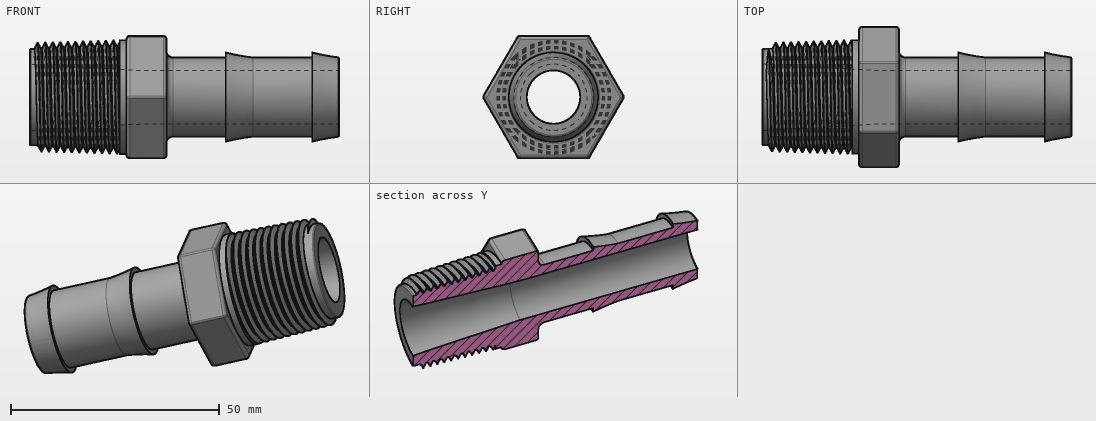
import cadquery as cq
import math

length = 74.05

thread_end_radius = 11.55
thread_end_round = 0.3
thread_taper = 1 / 32
thread_pitch = 1.815
thread_height = 1.4
thread_root_width = 1.55
thread_crest_width = 0.1
thread_overlap = 0.2
thread_start = 1.5
thread_full_angle = 30
run_in_turns = 0.125
run_in_height = 0.1

collar_start = 21.5
collar_diameter = 27.3

hex_start = 23.1
hex_end = 32.7
hex_across_flats = 29.3
hex_corner_round = 0.6
hex_face_round = 0.8

tail_diameter = 19.0
tail_fillet = 1.5
tail_end_round = 0.45
barb_diameter = 21.4
barb_length = 6.45
barb_sag = 0.11
barb_starts = (46.9, length - barb_length)

bore_mouth_diameter = 15.9
bore_diameter = 12.7
bore_cone_length = (hex_start + hex_end) / 2


def core_radius(x):
    """Radius of the tapered thread core at x."""
    return thread_end_radius + thread_taper * x


def body():
    """Thread core, collar and hose tail, revolved about X."""
    tail_radius = tail_diameter / 2
    barb_radius = barb_diameter / 2
    slope_middle_radius = (tail_radius + barb_radius) / 2 - barb_sag
    profile = (
        cq.Workplane("XY")
        .lineTo(0, core_radius(0))
        .lineTo(collar_start, core_radius(collar_start))
        .lineTo(collar_start, collar_diameter / 2)
        .lineTo(hex_end, collar_diameter / 2)
        .lineTo(hex_end, tail_radius + tail_fillet)
        .radiusArc((hex_end + tail_fillet, tail_radius), -tail_fillet)
    )
    for start in barb_starts:
        profile = (
            profile.lineTo(start, tail_radius)
            .lineTo(start, barb_radius)
            .threePointArc(
                (start + barb_length / 2, slope_middle_radius),
                (start + barb_length, tail_radius),
            )
        )
    solid = profile.lineTo(length, 0).close().revolve(360, (0, 0, 0), (1, 0, 0))
    solid = solid.faces("<X").edges().fillet(thread_end_round)
    return solid.faces(">X").edges().fillet(tail_end_round)


def hexagon():
    """Hexagon with two flats facing up and down and every edge rounded."""
    across_corners = hex_across_flats / math.cos(math.pi / 6)
    outline = cq.Workplane("YZ", origin=(hex_start, 0, 0)).polygon(6, across_corners)
    block = outline.extrude(hex_end - hex_start)
    block = block.edges("|X").fillet(hex_corner_round)
    return block.faces("<X or >X").edges().fillet(hex_face_round)


def add_ridge_section(sketch, turns, base_radius, height):
    """Add a V outline standing on a thread core about Z, the given turns along the thread."""
    turn_angle = 2 * math.pi * turns
    outward = (math.cos(turn_angle), math.sin(turn_angle), 0)
    sideways = (math.sin(turn_angle), -math.cos(turn_angle), 0)
    half_crest = thread_crest_width / 2
    flank_width = (thread_root_width - thread_crest_width) / 2
    half_root = half_crest + flank_width * height / thread_height
    outline = [
        (base_radius - thread_overlap, -half_root),
        (base_radius, -half_root),
        (base_radius + height, -half_crest),
        (base_radius + height, half_crest),
        (base_radius, half_root),
        (base_radius - thread_overlap, half_root),
    ]
    plane = cq.Plane(origin=(0, 0, turns * thread_pitch), xDir=outward, normal=sideways)
    return sketch.copyWorkplane(cq.Workplane(plane)).polyline(outline).close()


def ridge(start, turns, start_height):
    """Right-hand ridge about Z from height start, growing from start_height to full height."""
    rise = turns * thread_pitch
    taper_angle = math.degrees(math.atan(thread_taper))
    path = cq.Wire.makeHelix(thread_pitch, rise, core_radius(start), angle=taper_angle)
    sections = add_ridge_section(cq.Workplane("XY"), 0, core_radius(start), start_height)
    growing = start_height < thread_height
    if growing:
        sections = add_ridge_section(sections, turns, core_radius(start + rise), thread_height)
    solid = sections.sweep(cq.Workplane(path), multisection=growing, isFrenet=True)
    return solid.translate((0, 0, start))


def thread():
    """Run-in followed by the full ridge, which ends inside the collar."""
    full_start = thread_start + run_in_turns * thread_pitch
    full_turns = (collar_start + thread_root_width / 2 - full_start) / thread_pitch
    run_in = ridge(thread_start, run_in_turns, run_in_height)
    full = ridge(full_start, full_turns, thread_height)
    run_in = run_in.rotate((0, 0, 0), (0, 0, 1), -360 * run_in_turns)
    return [
        part.rotate((0, 0, 0), (0, 1, 0), 90).rotate((0, 0, 0), (1, 0, 0), 180 - thread_full_angle)
        for part in (run_in, full)
    ]


def bore():
    """Volume of the passage through the part, narrowing from the threaded end."""
    mouth = bore_mouth_diameter / 2
    hole = bore_diameter / 2
    outline = [(0, 0), (0, mouth), (bore_cone_length, hole), (length, hole), (length, 0)]
    return cq.Workplane("XY").polyline(outline).close().revolve(360, (0, 0, 0), (1, 0, 0))


result = body().union(hexagon())
for part in thread():
    result = result.union(part)
result = result.cut(bore())